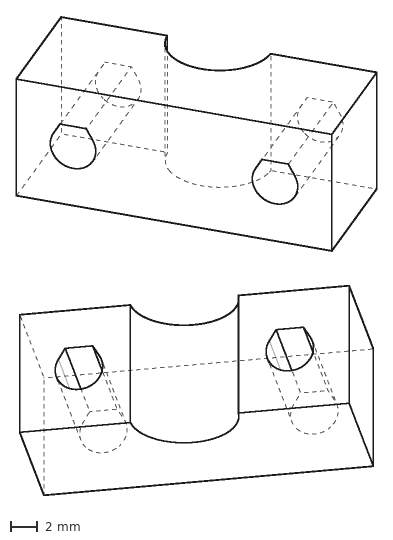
import cadquery as cq
import math

length = 25.0
depth = 10.0
height = 10.0

channel_radius = 4.1
channel_depth = 3.9

hole_radius = 1.8
hole_spacing = 16.0
flank_angle = math.radians(30)


def make_block():
    return cq.Workplane("XY").box(length, depth, height, centered=(True, False, True))


def make_channel():
    axis_y = depth - channel_depth + channel_radius
    return (
        cq.Workplane("XY")
        .center(0, axis_y)
        .circle(channel_radius)
        .extrude(height / 2, both=True)
    )


def make_teardrop_hole(center_x):
    """Circle with two tangent flanks cut off by a flat level with the circle's top."""
    tangent_x = hole_radius * math.cos(flank_angle)
    tangent_z = hole_radius * math.sin(flank_angle)
    flat_half_width = hole_radius * (1 - math.sin(flank_angle)) / math.cos(flank_angle)
    return (
        cq.Workplane("XZ")
        .center(center_x, 0)
        .moveTo(tangent_x, tangent_z)
        .lineTo(flat_half_width, hole_radius)
        .lineTo(-flat_half_width, hole_radius)
        .lineTo(-tangent_x, tangent_z)
        .threePointArc((0, -hole_radius), (tangent_x, tangent_z))
        .close()
        .extrude(-depth)
    )


result = make_block().cut(make_channel())
for side in (-1, 1):
    result = result.cut(make_teardrop_hole(side * hole_spacing / 2))